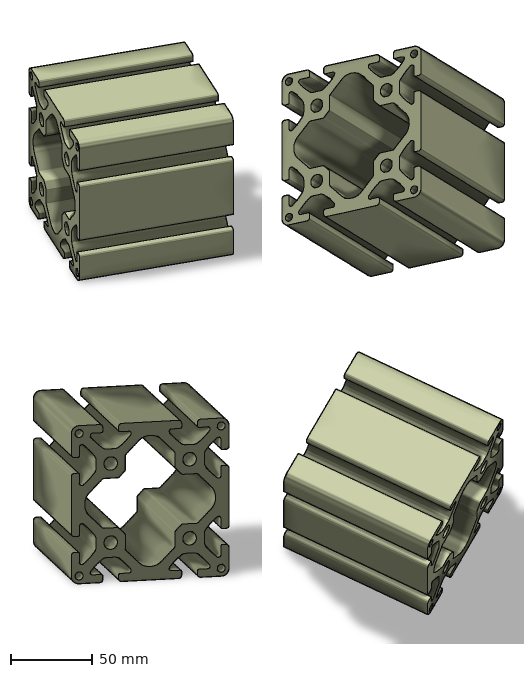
import cadquery as cq
import math

SIDE = 100.0
LENGTH = SIDE
HALF = SIDE / 2
CORNER_RADIUS = 5.0

PITCH = SIDE / 2
CELL_CENTER = PITCH / 2
CORE_HOLE_DIAMETER = 8.5
CORNER_HOLE_DIAMETER = 5.0
CORNER_HOLE_INSET = CORNER_RADIUS

SLOT_OPENING = 10.0
LIP_THICKNESS = 5.2
LIP_OUTER_RADIUS = 2.0
LIP_INNER_RADIUS = 1.0
SLOT_DEPTH = 15.7
FLANK_RADIUS = 40.0
FLANK_MID_DEPTH = 11.0
FLANK_MID_WIDTH = 19.2
SLOT_TIP_RADIUS = 1.5
SLOT_FLOOR_RADIUS = 4.6

CAVITY_INSET = 8.6
CAVITY_TIP_RADIUS = 9.5
CORE_HALF_WIDTH = CELL_CENTER - SLOT_DEPTH
CORE_CHAMFER = 4.4
CAVITY_ROOT_RADIUS = 2.0
CORE_CHAMFER_RADIUS = 2.0
CAVITY_ROOT_OFFSET = 5.0


def extrude_along_y(outline):
    """Extrude an XZ outline through the full length, centred on the origin."""
    return outline.extrude(LENGTH / 2, both=True)


def fillet_at(body, points, radius):
    """Round the lengthwise edges that pass through the given (x, z) points."""
    for x, z in points:
        body = body.edges(cq.selectors.NearestToPointSelector((x, 0, z))).fillet(radius)
    return body


def make_block():
    block = extrude_along_y(cq.Workplane("XZ").rect(SIDE, SIDE))
    return block.edges("|Y").fillet(CORNER_RADIUS)


def make_slot(center_x):
    """T-slot cut into the +Z face, with slightly bowed flanks."""
    lip_z = HALF - LIP_THICKNESS
    floor_z = HALF - SLOT_DEPTH
    flank_mid = (FLANK_MID_WIDTH / 2, HALF - FLANK_MID_DEPTH)
    bow_x = flank_mid[0] - FLANK_RADIUS * math.sqrt(0.5)
    bow_z = flank_mid[1] + FLANK_RADIUS * math.sqrt(0.5)
    tip_half = bow_x + math.sqrt(FLANK_RADIUS**2 - (bow_z - lip_z) ** 2)
    floor_half = bow_x + math.sqrt(FLANK_RADIUS**2 - (bow_z - floor_z) ** 2)

    chamber = extrude_along_y(
        cq.Workplane("XZ")
        .moveTo(-tip_half, lip_z)
        .lineTo(tip_half, lip_z)
        .threePointArc(flank_mid, (floor_half, floor_z))
        .lineTo(-floor_half, floor_z)
        .threePointArc((-flank_mid[0], flank_mid[1]), (-tip_half, lip_z))
        .close()
    )
    chamber = fillet_at(chamber, [(-tip_half, lip_z), (tip_half, lip_z)], SLOT_TIP_RADIUS)
    chamber = fillet_at(chamber, [(-floor_half, floor_z), (floor_half, floor_z)], SLOT_FLOOR_RADIUS)

    opening = extrude_along_y(
        cq.Workplane("XZ").center(0, HALF - LIP_THICKNESS / 2).rect(SLOT_OPENING, LIP_THICKNESS)
    )
    return chamber.union(opening).translate((center_x, 0, 0))


def lip_edges(center_x, z):
    """Both corners at height z of the lips beside one slot in the +Z face."""
    return [(center_x - SLOT_OPENING / 2, z), (center_x + SLOT_OPENING / 2, z)]


def quarter_turns(points, turns):
    """Rotate (x, z) points about the Y axis by whole quarter turns."""
    for _ in range(turns):
        points = [(z, -x) for x, z in points]
    return points


def make_cavity():
    """Four-lobed central opening, necked in by the four chamfered screw cores."""
    core_inner = HALF - CELL_CENTER - CORE_HALF_WIDTH
    root_z = CELL_CENTER + CAVITY_ROOT_OFFSET
    chamfer_z = core_inner + CORE_CHAMFER
    lobe_z = HALF - CAVITY_INSET
    lobe_half = core_inner - (lobe_z - root_z)

    right_half_lobe = [
        (lobe_half, lobe_z),
        (core_inner, root_z),
        (core_inner, chamfer_z),
    ]
    left_half_lobe = [(-x, z) for x, z in reversed(right_half_lobe)]
    lobe = left_half_lobe + right_half_lobe
    outline = [point for turn in range(4) for point in quarter_turns(lobe, turn)]

    cavity = extrude_along_y(cq.Workplane("XZ").polyline(outline).close())
    for turn in range(4):
        roots = quarter_turns([(-core_inner, root_z), (core_inner, root_z)], turn)
        tips = quarter_turns([(-lobe_half, lobe_z), (lobe_half, lobe_z)], turn)
        chamfer_ends = quarter_turns([(-core_inner, chamfer_z), (core_inner, chamfer_z)], turn)
        cavity = fillet_at(cavity, chamfer_ends, CORE_CHAMFER_RADIUS)
        cavity = fillet_at(cavity, roots, CAVITY_ROOT_RADIUS)
        cavity = fillet_at(cavity, tips, CAVITY_TIP_RADIUS)
    return cavity


def make_holes(offset, diameter):
    """Four full-length round holes, one in each quadrant."""
    centers = [(x, z) for x in (-offset, offset) for z in (-offset, offset)]
    return extrude_along_y(cq.Workplane("XZ").pushPoints(centers).circle(diameter / 2))


result = make_block()

QUARTER_TURN = 90
for turn in range(4):
    for slot_x in (-CELL_CENTER, CELL_CENTER):
        slot = make_slot(slot_x).rotate((0, 0, 0), (0, 1, 0), QUARTER_TURN * turn)
        result = result.cut(slot)
        outer_lips = quarter_turns(lip_edges(slot_x, HALF), turn)
        inner_lips = quarter_turns(lip_edges(slot_x, HALF - LIP_THICKNESS), turn)
        result = fillet_at(result, outer_lips, LIP_OUTER_RADIUS)
        result = fillet_at(result, inner_lips, LIP_INNER_RADIUS)

result = result.cut(make_cavity())
result = result.cut(make_holes(CELL_CENTER, CORE_HOLE_DIAMETER))
result = result.cut(make_holes(HALF - CORNER_HOLE_INSET, CORNER_HOLE_DIAMETER))